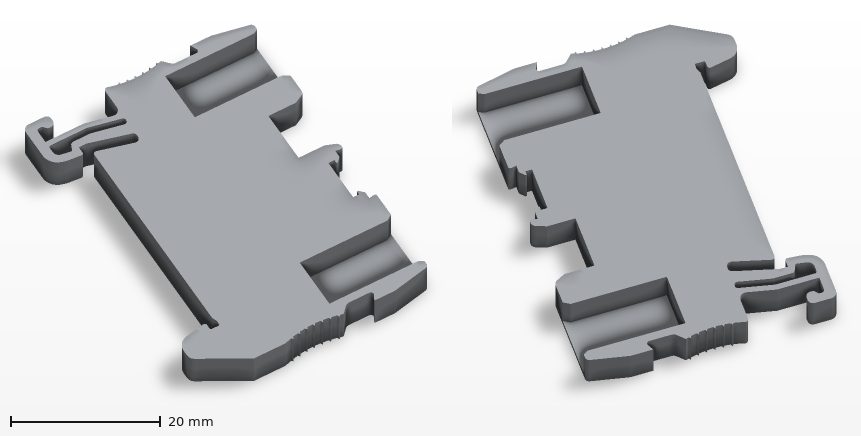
import cadquery as cq
import math

HALF_LENGTH = 24.25
HEIGHT = 35.2
THICKNESS = 5.2

POCKET_INNER = 13.8
POCKET_OUTER = 21.65
POCKET_FLOOR_Y = 20.7
POCKET_DEPTH = 4.5
POCKET_INNER_FLARE = (0.6, 0.9)
POCKET_OUTER_FLARE = (0.4, 0.75)

SHOULDER_TOP_X = 23.05
SHOULDER_Y = 29.35
SHOULDER_ROUND = 0.6
LIP_Y = 26.15
NOTCH_X = 22.8
NOTCH_TOP_Y = 26.85
NOTCH_BOTTOM_Y = 22.7
NOTCH_SLANT_END_Y = 21.3
NOTCH_ROUND = 0.4
NOTCH_CORNER_ROUND = 0.85

GRIP_RADIUS = 14.55
GRIP_X = 23.43
GRIP_Y = 17.2
RIDGE_PITCH = 1.2
RIDGE_HEIGHT = 0.315
RIDGE_HALF_WIDTH = 0.25
RIDGE_ROOT = 0.1
RIDGES_ABOVE = 3
LEFT_RIDGES_BELOW = 2
RIGHT_RIDGES_BELOW = 3

CHANNEL_LEFT = -9.0
CHANNEL_RIGHT = -1.05
CHANNEL_FLOOR_Y = 29.3
CHANNEL_LEFT_MOUTH = (-9.9, 33.55)
CHANNEL_RIGHT_MOUTH = (-0.35, 33.25)
MOUTH_ROUND = 0.75

SEAT_CENTER = 4.95
SEAT_FLOOR_Y = 32.3
SEAT_HALF_WIDTH = 3.25
JAW_OVERHANG = 0.6
JAW_RAMP_LENGTH = 0.75
JAW_LEDGE_Y = 34.1
JAW_WALL_OFFSET = 4.35
JAW_WALL_UNDERCUT = 0.15
JAW_WALL_BEND_Y = 34.7
JAW_WALL_ROUND = 0.25
JAW_TIP_TOP_Y = 33.4
JAW_TIP_BOTTOM_Y = 33.2

SHELF_LEFT = -24.05
SHELF_Y = 12.55
SHELF_ROUND = 0.55
BASE_LEFT = -15.7
BASE_LEFT_ROUND = 0.4
BASE_RIGHT = 15.7
BASE_Y = 6.0

FOOT_STEP_Y = 4.85
TOE_ROUND = 0.35
FOOT_SLANT_Y = 7.45
FOOT_TIP_RIGHT = 19.95
FOOT_RIGHT_ROUND = 1.2
FOOT_TIP_LEFT = 16.85
FOOT_LEFT_ROUND = 1.95
FOOT_TOE_X = 15.9
FOOT_RECESS_X = 17.2
FOOT_RECESS_TOP_Y = 6.3
FOOT_RECESS_RAMP_X = 16.4
RECESS_BOTTOM_ROUND = 0.25
RECESS_TOP_ROUND = 0.15

OUTER_SLOT_BEND_Y = 6.6
OUTER_SLOT_TOP_RIGHT = -14.05
OUTER_SLOT_TOP_LEFT = -15.65
OUTER_SLOT_FOOT_X = -17.45
OUTER_SLOT_RIGHT_ROUND = 0.7
OUTER_SLOT_LEFT_ROUND = 0.6

CLIP_TOE_X = -16.1
CLIP_SIDE_X = -16.35
CLIP_SIDE_Y = 2.35
CLIP_SIDE_ROUND = 3.4
CLIP_HEEL_X = -17.0
CLIP_HEEL_ROUND = 2.3
CLIP_LEFT = -24.1
CLIP_LEFT_ROUND = 0.95
CLIP_FLOOR_Y = 1.45
CURL_TOP_Y = 4.05
CURL_LEFT_ROUND = 0.75
CURL_RIGHT = -22.2
CURL_RIGHT_ROUND = 0.8
CURL_TIP_Y = 2.85
CURL_NECK_X = -22.85
CURL_NECK_Y = 2.35
CURL_TIP_ROUND = 0.3
CURL_NECK_ROUND = 0.25
CURL_FLOOR_ROUND = 0.45

ARM_LEFT = -20.45
ARM_RIGHT = -19.65
ARM_BEND_Y = 7.35
ARM_SLOPE = 0.22
ARM_ROOT_ROUND = 0.95
SLOT_RIGHT = -18.6
SLOT_KNEE_Y = 4.3
SLOT_BULGE_X = -17.35
SLOT_BULGE_Y = 3.8
SLOT_HEEL_X = -17.75
SLOT_HEEL_ROUND = 0.95
SLOT_CORNER_ROUND = 0.35
SLOT_TOP_LEFT_ROUND = 0.4
SLOT_TOP_RIGHT_ROUND = 0.45
SLOT_KNEE_ROUND = 0.5
SLOT_BULGE_ROUND = 0.25


def rounded_outline(corners):
    """Close a wire through (x, y, corner radius) points, rounding with tangent arcs."""
    stretches = []
    for i, (x, y, radius) in enumerate(corners):
        here = cq.Vector(x, y)
        before = (cq.Vector(*corners[i - 1][:2]) - here).normalized()
        after = (cq.Vector(*corners[(i + 1) % len(corners)][:2]) - here).normalized()
        if radius == 0:
            stretches.append((here,))
            continue
        half_angle = before.getAngle(after) / 2
        setback = radius / math.tan(half_angle)
        bulge = radius / math.sin(half_angle) - radius
        middle = here + (before + after).normalized() * bulge
        stretches.append((here + before * setback, middle, here + after * setback))

    wire = cq.Workplane("XY").moveTo(*stretches[0][-1].toTuple()[:2])
    for stretch in stretches[1:] + stretches[:1]:
        points = [point.toTuple()[:2] for point in stretch]
        wire = wire.lineTo(*points[0])
        if len(points) > 1:
            wire = wire.threePointArc(points[1], points[2])
    return wire.close()


def mirrored(corners, center=0.0):
    """Mirror corners about a vertical line and reverse their order."""
    return [(2 * center - x, y, radius) for x, y, radius in reversed(corners)]


def on_sloped_arm(bend_x, y):
    """X of a clip-arm line that bends toward +X above ARM_BEND_Y."""
    return bend_x + ARM_SLOPE * (y - ARM_BEND_Y)


def body_corners():
    """Outer outline, clockwise from the upper left, including the spring clip and its outer slot."""
    right_end = [
        (SHOULDER_TOP_X, HEIGHT, SHOULDER_ROUND),
        (HALF_LENGTH, SHOULDER_Y, 0),
        (HALF_LENGTH, LIP_Y, 0),
        (NOTCH_X, NOTCH_TOP_Y, NOTCH_ROUND),
        (NOTCH_X, NOTCH_BOTTOM_Y, NOTCH_CORNER_ROUND),
        (HALF_LENGTH, NOTCH_SLANT_END_Y, 0),
    ]
    channel = [
        (CHANNEL_LEFT_MOUTH[0], HEIGHT, MOUTH_ROUND),
        (CHANNEL_LEFT, CHANNEL_LEFT_MOUTH[1], 0),
        (CHANNEL_LEFT, CHANNEL_FLOOR_Y, 0),
        (CHANNEL_RIGHT, CHANNEL_FLOOR_Y, 0),
        (CHANNEL_RIGHT, CHANNEL_RIGHT_MOUTH[1], 0),
        (CHANNEL_RIGHT_MOUTH[0], HEIGHT, MOUTH_ROUND),
    ]
    seat_edge = SEAT_CENTER + SEAT_HALF_WIDTH
    jaw_tip = seat_edge - JAW_OVERHANG
    jaw_wall = SEAT_CENTER + JAW_WALL_OFFSET
    right_jaw = [
        (seat_edge, SEAT_FLOOR_Y, 0),
        (seat_edge, JAW_TIP_BOTTOM_Y, 0),
        (jaw_tip, JAW_TIP_BOTTOM_Y, 0),
        (jaw_tip, JAW_TIP_TOP_Y, 0),
        (jaw_tip + JAW_RAMP_LENGTH, JAW_LEDGE_Y, 0),
        (jaw_wall + JAW_WALL_UNDERCUT, JAW_LEDGE_Y, 0),
        (jaw_wall, JAW_WALL_BEND_Y, 0),
        (jaw_wall, HEIGHT, JAW_WALL_ROUND),
    ]
    right_foot = [
        (HALF_LENGTH, FOOT_SLANT_Y, 0),
        (FOOT_TIP_RIGHT, 0, FOOT_RIGHT_ROUND),
        (FOOT_TIP_LEFT, 0, FOOT_LEFT_ROUND),
        (FOOT_TOE_X, FOOT_STEP_Y, TOE_ROUND),
        (FOOT_RECESS_X, FOOT_STEP_Y, RECESS_BOTTOM_ROUND),
        (FOOT_RECESS_X, FOOT_RECESS_TOP_Y, RECESS_TOP_ROUND),
        (FOOT_RECESS_RAMP_X, FOOT_RECESS_TOP_Y, 0),
        (BASE_RIGHT, BASE_Y, 0),
    ]
    outer_slot = [
        (BASE_LEFT, BASE_Y, BASE_LEFT_ROUND),
        (BASE_LEFT, OUTER_SLOT_BEND_Y, 0),
        (OUTER_SLOT_TOP_RIGHT, SHELF_Y, OUTER_SLOT_RIGHT_ROUND),
        (OUTER_SLOT_TOP_LEFT, SHELF_Y, OUTER_SLOT_LEFT_ROUND),
        (OUTER_SLOT_FOOT_X, BASE_Y, 0),
        (OUTER_SLOT_FOOT_X, FOOT_STEP_Y, 0),
    ]
    clip = [
        (CLIP_TOE_X, FOOT_STEP_Y, TOE_ROUND),
        (CLIP_SIDE_X, CLIP_SIDE_Y, CLIP_SIDE_ROUND),
        (CLIP_HEEL_X, 0, CLIP_HEEL_ROUND),
        (CLIP_LEFT, 0, CLIP_LEFT_ROUND),
        (CLIP_LEFT, CURL_TOP_Y, CURL_LEFT_ROUND),
        (CURL_RIGHT, CURL_TOP_Y, CURL_RIGHT_ROUND),
        (CURL_RIGHT, CURL_TIP_Y, CURL_TIP_ROUND),
        (CURL_NECK_X, CURL_NECK_Y, CURL_NECK_ROUND),
        (CURL_NECK_X, CLIP_FLOOR_Y, CURL_FLOOR_ROUND),
        (ARM_LEFT, CLIP_FLOOR_Y, 0),
        (ARM_LEFT, ARM_BEND_Y, 0),
        (on_sloped_arm(ARM_LEFT, SHELF_Y), SHELF_Y, ARM_ROOT_ROUND),
        (SHELF_LEFT, SHELF_Y, SHELF_ROUND),
    ]
    return (
        mirrored(right_end) + channel + mirrored(right_jaw, SEAT_CENTER) + right_jaw
        + right_end + right_foot + outer_slot + clip
    )


def inner_slot_corners():
    """Closed slot between the two spring arms of the clip, widening at its lower end."""
    return [
        (ARM_RIGHT, CLIP_FLOOR_Y, SLOT_CORNER_ROUND),
        (ARM_RIGHT, ARM_BEND_Y, 0),
        (on_sloped_arm(ARM_RIGHT, SHELF_Y), SHELF_Y, SLOT_TOP_LEFT_ROUND),
        (on_sloped_arm(SLOT_RIGHT, SHELF_Y), SHELF_Y, SLOT_TOP_RIGHT_ROUND),
        (SLOT_RIGHT, ARM_BEND_Y, 0),
        (SLOT_RIGHT, SLOT_KNEE_Y, SLOT_KNEE_ROUND),
        (SLOT_BULGE_X, SLOT_BULGE_Y, SLOT_BULGE_ROUND),
        (SLOT_HEEL_X, CLIP_FLOOR_Y, SLOT_HEEL_ROUND),
    ]


def pocket(side):
    """Wire-entry pocket with a flared mouth; side is -1 for the left end, +1 for the right."""
    corners = [
        (POCKET_INNER - POCKET_INNER_FLARE[0], HEIGHT),
        (POCKET_INNER, HEIGHT - POCKET_INNER_FLARE[1]),
        (POCKET_INNER, POCKET_FLOOR_Y),
        (POCKET_OUTER, POCKET_FLOOR_Y),
        (POCKET_OUTER, HEIGHT - POCKET_OUTER_FLARE[1]),
        (POCKET_OUTER + POCKET_OUTER_FLARE[0], HEIGHT),
    ]
    outline = cq.Workplane("XY").workplane(offset=THICKNESS - POCKET_DEPTH)
    return outline.polyline([(side * x, y) for x, y in corners]).close().extrude(POCKET_DEPTH)


def grip_hollow(side):
    """Cylinder whose arc hollows out one finger grip."""
    center_x = side * (GRIP_X + GRIP_RADIUS)
    return cq.Workplane("XY").center(center_x, GRIP_Y).circle(GRIP_RADIUS).extrude(THICKNESS)


def grip_ridge(side, rise):
    """Triangular ridge on the grip, pointing at the centre of the grip arc."""
    angle = math.asin(rise / GRIP_RADIUS)

    def place(radius, across):
        x = GRIP_X + GRIP_RADIUS - radius * math.cos(angle) + across * math.sin(angle)
        y = GRIP_Y + radius * math.sin(angle) + across * math.cos(angle)
        return side * x, y

    corners = [
        place(GRIP_RADIUS + RIDGE_ROOT, -RIDGE_HALF_WIDTH),
        place(GRIP_RADIUS - RIDGE_HEIGHT, 0),
        place(GRIP_RADIUS + RIDGE_ROOT, RIDGE_HALF_WIDTH),
    ]
    return cq.Workplane("XY").polyline(corners).close().extrude(THICKNESS)


result = rounded_outline(body_corners()).extrude(THICKNESS)
result = result.cut(rounded_outline(inner_slot_corners()).extrude(THICKNESS))

for end, ridges_below in ((-1, LEFT_RIDGES_BELOW), (1, RIGHT_RIDGES_BELOW)):
    result = result.cut(pocket(end)).cut(grip_hollow(end))
    for step in range(-ridges_below, RIDGES_ABOVE + 1):
        result = result.union(grip_ridge(end, step * RIDGE_PITCH))